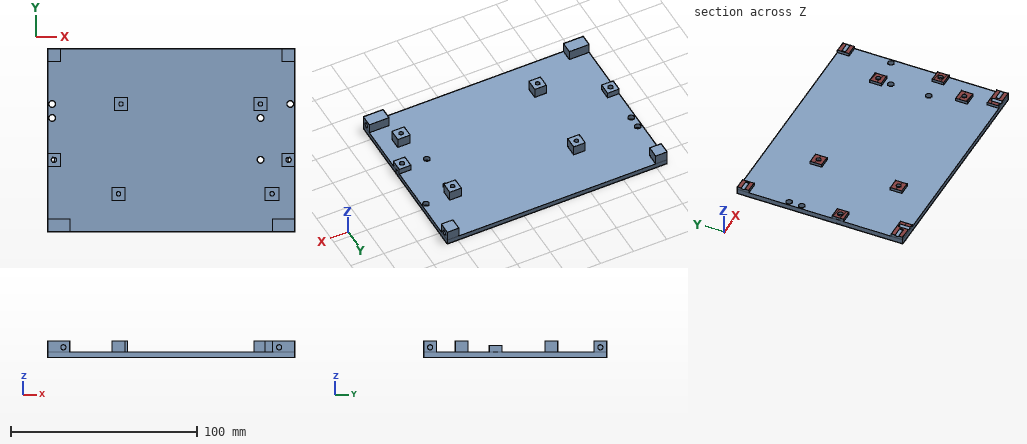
import cadquery as cq

plate_length = 133.0
plate_width = 98.5
plate_thickness = 3.0
overall_height = 9.0
half_length = plate_length / 2
half_width = plate_width / 2

post_side = 7.0
wide_post_length = 7.5
front_block_length = 12.0
tall_post_height = overall_height - plate_thickness
low_post_height = 3.5

plate_hole_diameter = 3.5
screw_hole_diameter = 2.77
board_hole_diameter = 2.4

block_hole_z = 5.5
block_hole_depth = 6.0
front_hole_from_end = 8.5

board_front_x = -28.35
board_front_y = -28.83
board_row_spacing = 48.26
board_front_spacing = 82.55
board_rear_spacing = 74.93
board_rear_shift = 1.35
board_rear_x = board_front_x + board_rear_shift
board_rear_y = board_front_y + board_row_spacing

middle_row_offset = 7.5
front_row_offset = 30.0
outer_hole_from_end = 2.5
plate_hole_rear_y = board_rear_y
plate_hole_middle_y = plate_hole_rear_y - middle_row_offset
plate_hole_front_y = plate_hole_rear_y - front_row_offset
plate_hole_inner_x = 48.0
plate_hole_outer_x = half_length - outer_hole_from_end

low_hole_from_end = 1.95
low_post_x = half_length - post_side / 2
low_plate_hole_x = half_length - low_hole_from_end

tall_posts = [
    ((board_front_x, board_front_y), post_side),
    ((board_front_x + board_front_spacing, board_front_y), wide_post_length),
    ((board_rear_x, board_rear_y), post_side),
    ((board_rear_x + board_rear_spacing, board_rear_y), post_side),
]

plate_hole_centres = [
    (-plate_hole_outer_x, plate_hole_rear_y),
    (plate_hole_outer_x, plate_hole_rear_y),
    (-plate_hole_outer_x, plate_hole_middle_y),
    (plate_hole_inner_x, plate_hole_middle_y),
    (-low_plate_hole_x, plate_hole_front_y),
    (plate_hole_inner_x, plate_hole_front_y),
    (low_plate_hole_x, plate_hole_front_y),
]


def block_on_plate(length, height, centre):
    """Block of standard width standing on the plate, centred on an (x, y) point."""
    x, y = centre
    body = cq.Workplane("XY").box(length, post_side, height, centered=(True, True, False))
    return body.translate((x, y, plate_thickness))


def bore(diameter, depth, start, direction):
    """Cylindrical cutter running from start along direction."""
    cutter = cq.Solid.makeCylinder(diameter / 2, depth, cq.Vector(*start), cq.Vector(*direction))
    return cq.Workplane(cutter)


def make_plate():
    """Flat plate with its vertical through holes."""
    plate = cq.Workplane("XY").box(plate_length, plate_width, plate_thickness, centered=(True, True, False))
    for x, y in plate_hole_centres:
        plate = plate.cut(bore(plate_hole_diameter, plate_thickness, (x, y, 0), (0, 0, 1)))
    return plate


def make_post(centre, length, height, hole_diameter):
    """Post with a vertical hole down to the plate surface."""
    x, y = centre
    post = block_on_plate(length, height, centre)
    return post.cut(bore(hole_diameter, height, (x, y, plate_thickness), (0, 0, 1)))


def make_corner_block(end, edge, length):
    """Corner block with a blind screw hole from the plate end; end and edge are -1 or 1."""
    x = end * (half_length - length / 2)
    y = edge * (half_width - post_side / 2)
    hole_start = (end * half_length, y, block_hole_z)
    hole = bore(screw_hole_diameter, block_hole_depth, hole_start, (-end, 0, 0))
    return block_on_plate(length, tall_post_height, (x, y)).cut(hole)


def make_front_block(end):
    """Longer corner block that also has a blind screw hole from the front edge."""
    hole_start = (end * (half_length - front_hole_from_end), -half_width, block_hole_z)
    hole = bore(screw_hole_diameter, block_hole_depth, hole_start, (0, 1, 0))
    return make_corner_block(end, -1, front_block_length).cut(hole)


raised_parts = []
for post_centre, post_length in tall_posts:
    raised_parts.append(make_post(post_centre, post_length, tall_post_height, board_hole_diameter))
for plate_end in (-1, 1):
    low_centre = (plate_end * low_post_x, plate_hole_front_y)
    raised_parts.append(make_post(low_centre, post_side, low_post_height, screw_hole_diameter))
    raised_parts.append(make_corner_block(plate_end, 1, post_side))
    raised_parts.append(make_front_block(plate_end))

result = make_plate()
for raised_part in raised_parts:
    result = result.union(raised_part, clean=False)